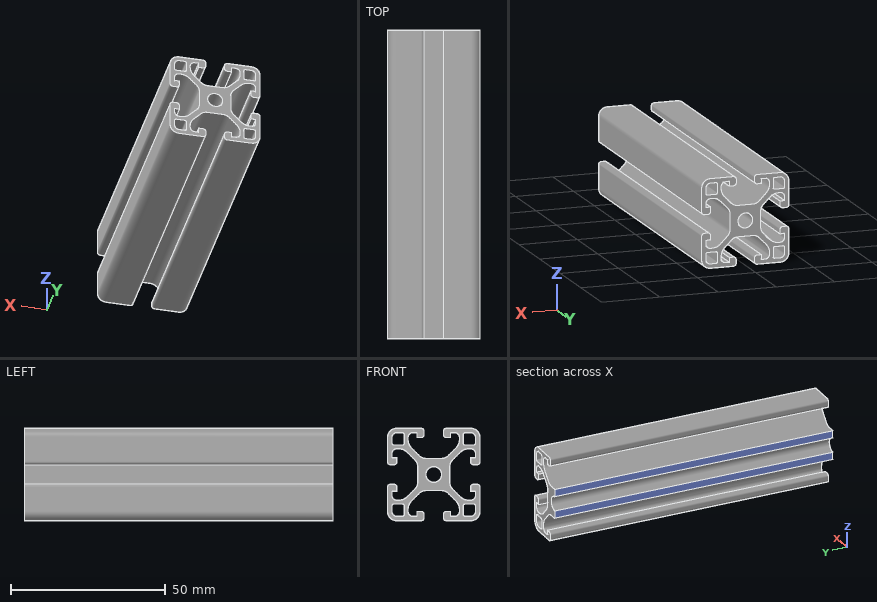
import cadquery as cq

length = 100.0
side = 30.0
corner_radius = 3.0

wall = 1.5
slot_width = 6.2
slot_inner_width = 16.6
lip_depth = 3.1
lip_length = 2.4
lip_radius = 1.0
slot_corner_radius = 1.5
slot_bend_radius = 4.0
floor_radius = 3.0

core_width = 10.5
web_thickness = 2.0
bore_diameter = 5.0
hollow_width = 3.9
hollow_radius = 0.5

half_side = side / 2
overcut = 1.0


def slot_prism(points):
    """Prism along Y from one half outline (x, z), mirrored about x = 0."""
    mirrored = [(-x, z) for x, z in reversed(points)]
    return (
        cq.Workplane("XZ")
        .polyline(points + mirrored)
        .close()
        .extrude(length / 2, both=True)
    )


def round_edges(body, points, radius):
    """Fillet the lengthwise edges at the points (x, z) and their mirror images."""
    reach = 0.05
    for x, z in points:
        for edge_x in (x, -x):
            near = cq.selectors.BoxSelector(
                (edge_x - reach, -length, z - reach),
                (edge_x + reach, length, z + reach),
            )
            body = body.edges("|Y").edges(near).fillet(radius)
    return body


def make_slot():
    """Void of the T-slot in the +Z face."""
    half_opening = slot_width / 2
    half_inner = slot_inner_width / 2
    lip_root = half_opening + lip_length
    lip_under = half_side - lip_depth
    wall_inside = half_side - wall
    floor = core_width / 2
    web_rise = web_thickness / 2**0.5
    above = half_side + overcut
    mouth = half_opening + lip_radius

    lip_tip = (half_opening, lip_under)
    lip_shoulder = (half_opening, half_side)
    slot_corner = (half_inner, wall_inside)
    bend = (half_inner, half_inner + web_rise)
    floor_corner = (floor - web_rise, floor)

    slot = slot_prism([
        floor_corner,
        bend,
        slot_corner,
        (lip_root, wall_inside),
        (lip_root, lip_under),
        lip_tip,
        lip_shoulder,
        (mouth + overcut, half_side),
        (mouth + overcut, above),
    ])
    slot = round_edges(slot, [lip_tip, lip_shoulder], lip_radius)
    slot = round_edges(slot, [slot_corner], slot_corner_radius)
    slot = round_edges(slot, [bend], slot_bend_radius)
    return round_edges(slot, [floor_corner], floor_radius)


def make_hollow():
    """Square channel in the +X +Z corner, its outer corner concentric with the profile corner."""
    centre = half_side - wall - hollow_width / 2
    outer_corner = ">(1, 0, 1)"
    hollow = cq.Workplane("XY").box(hollow_width, length, hollow_width)
    hollow = hollow.edges("|Y").edges(f"not {outer_corner}").fillet(hollow_radius)
    hollow = hollow.edges("|Y").edges(outer_corner).fillet(corner_radius - wall)
    return hollow.translate((centre, 0, centre))


profile = cq.Workplane("XY").box(side, length, side).edges("|Y").fillet(corner_radius)
bore = cq.Workplane("XZ").circle(bore_diameter / 2).extrude(length / 2, both=True)
result = profile.cut(bore)

slot = make_slot()
hollow = make_hollow()
for quarter in range(4):
    angle = 90 * quarter
    for void in (slot, hollow):
        result = result.cut(void.rotate((0, 0, 0), (0, 1, 0), angle))